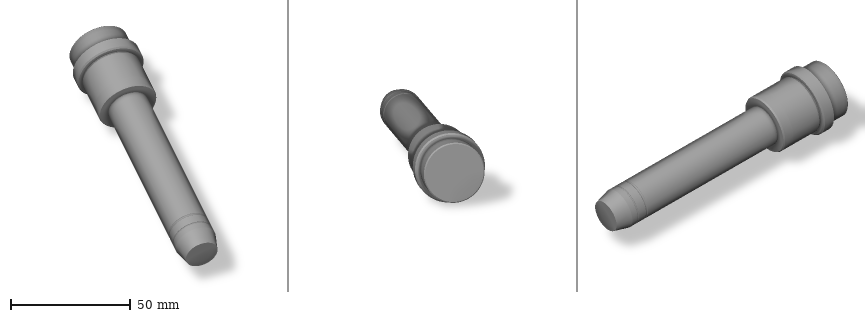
import cadquery as cq
import math

length = 121.0
head_radius = 26.0 / 2
collar_radius = 30.0 / 2
shank_radius = 18.0 / 2

collar_start = 9.0
collar_end = 15.0
seat_start = 30.0
head_end = 35.1
tip_start = 114.0

front_chamfer = 0.5
collar_chamfer = 0.6
rear_chamfer_length = 0.7
rear_chamfer_depth = 0.4
tip_taper_angle = 15.0

relief_depth = 0.4
front_relief_width = 1.1
rear_relief_width = 0.8
foot_relief_width = 0.4
foot_relief_depth = 0.1

oil_grooves = [(105.5, 1.1), (110.5, 0.7)]
oil_groove_depth = 0.4


def relief_arc_radius(width, depth):
    """Radius of a relief arc that is deepest, and level, where it meets the shoulder."""
    return (width**2 + depth**2) / (2 * depth)


def draw_head(outline):
    """Head with a raised, chamfered collar and a hollow relief on each side of it."""
    relief_radius = head_radius - relief_depth
    front_relief_arc = relief_arc_radius(front_relief_width, relief_depth)
    rear_relief_arc = relief_arc_radius(rear_relief_width, relief_depth)
    return (
        outline.lineTo(0, head_radius - front_chamfer)
        .lineTo(front_chamfer, head_radius)
        .lineTo(collar_start - front_relief_width, head_radius)
        .radiusArc((collar_start, relief_radius), -front_relief_arc)
        .lineTo(collar_start, collar_radius - collar_chamfer)
        .lineTo(collar_start + collar_chamfer, collar_radius)
        .lineTo(collar_end - collar_chamfer, collar_radius)
        .lineTo(collar_end, collar_radius - collar_chamfer)
        .lineTo(collar_end, relief_radius)
        .radiusArc((collar_end + rear_relief_width, head_radius), -rear_relief_arc)
        .lineTo(seat_start, head_radius)
        .lineTo(head_end - rear_chamfer_length, head_radius)
        .lineTo(head_end, head_radius - rear_chamfer_depth)
    )


def draw_shank(outline):
    """Guide shank with a relieved foot, rounded oil grooves and a tapered tip."""
    foot_relief_arc = relief_arc_radius(foot_relief_width, foot_relief_depth)
    outline = outline.lineTo(head_end, shank_radius - foot_relief_depth)
    outline = outline.radiusArc((head_end + foot_relief_width, shank_radius), -foot_relief_arc)
    for start, width in oil_grooves:
        groove_bottom = (start + width / 2, shank_radius - oil_groove_depth)
        groove_end = (start + width, shank_radius)
        outline = outline.lineTo(start, shank_radius).threePointArc(groove_bottom, groove_end)
    tip_drop = (length - tip_start) * math.tan(math.radians(tip_taper_angle))
    return outline.lineTo(tip_start, shank_radius).lineTo(length, shank_radius - tip_drop)


half_outline = draw_shank(draw_head(cq.Workplane("XZ").moveTo(0, 0))).lineTo(length, 0).close()
result = half_outline.revolve(360, (0, 0, 0), (1, 0, 0), clean=False)